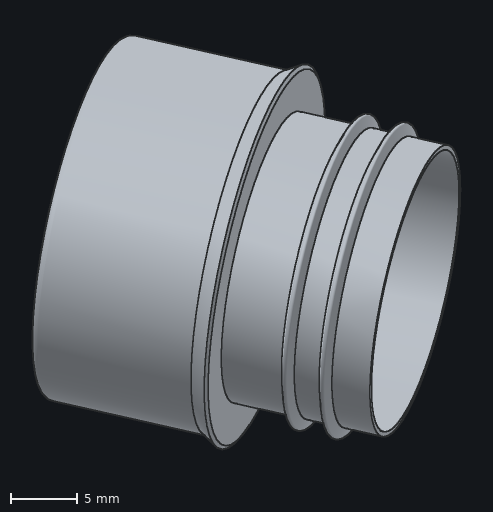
import cadquery as cq

length = 26.0
bore_radius = 21.8 / 2
body_radius = 28.3 / 2
neck_radius = 22.6 / 2
mouth_fillet = 0.6

collar_radius = 29.8 / 2
flare_start = 12.72
collar_end = 14.2
collar_edge_length = 0.2
collar_edge_drop = 0.33

rib_centers = (19.5, 22.47)
rib_width = 1.0
rib_radius = 24.55 / 2
rib_tip_width = 0.35
rib_tip_rise = 0.12


def revolve_about_x(profile):
    """Turn a closed XY profile into a solid of revolution about X."""
    return profile.close().revolve(360, (0, 0, 0), (1, 0, 0))


def make_body():
    """Hollow body, collar and neck, with both mouth edges rounded."""
    profile = (
        cq.Workplane("XY")
        .moveTo(0, bore_radius)
        .lineTo(0, body_radius)
        .lineTo(flare_start, body_radius)
        .lineTo(collar_end - collar_edge_length, collar_radius)
        .lineTo(collar_end, collar_radius - collar_edge_drop)
        .lineTo(collar_end, neck_radius)
        .lineTo(length, neck_radius)
        .lineTo(length, bore_radius)
    )
    return revolve_about_x(profile).faces("<X").edges().fillet(mouth_fillet)


def make_rib(center):
    """Ring with sloped flanks, a rounded tip and a root sunk into the neck wall."""
    half_width = rib_width / 2
    half_tip = rib_tip_width / 2
    tip_base_radius = rib_radius - rib_tip_rise
    root_radius = (bore_radius + neck_radius) / 2
    profile = (
        cq.Workplane("XY")
        .moveTo(center - half_width, root_radius)
        .lineTo(center - half_width, neck_radius)
        .lineTo(center - half_tip, tip_base_radius)
        .threePointArc((center, rib_radius), (center + half_tip, tip_base_radius))
        .lineTo(center + half_width, neck_radius)
        .lineTo(center + half_width, root_radius)
    )
    return revolve_about_x(profile)


result = make_body()
for rib_center in rib_centers:
    result = result.union(make_rib(rib_center))